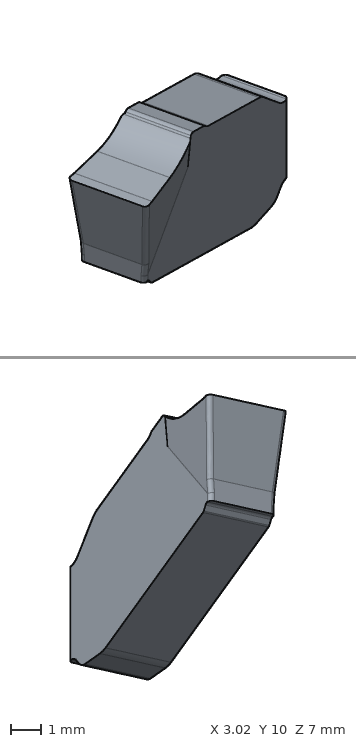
import cadquery as cq
import math


length = 10.0
height = 7.0
shank_width = 2.5
head_blank_width = 4.0
flank_angle = math.radians(20)
bevel_angle = math.radians(45)

edge_z = 6.41
land_length = 0.42
floor_z = 6.38
heel_y = 0.36
heel_top_z = 3.55
heel_bottom_z = 2.75

breaker_start_y = 1.79
breaker_radius = 2.6
breaker_angle = math.radians(37)
crest_radius = 0.2

step_top_y = 4.34
step_fall = 0.16
step_radius = 0.54
shoulder_radius = 0.8

back_bottom_z = 0.51
back_top_z = 3.89
back_bevel_angle = math.radians(44)
back_top_flat = 0.12
back_top_radius = 0.75
back_bottom_flat = 0.19
back_bottom_radius = 0.5

foot_radius = 0.6
belly_radius = 1.1
notch_y = 0.79
notch_z = 2.49
notch_angle = math.radians(55)
notch_inner_radius = 0.15
notch_outer_radius = 0.1

flare_slope = 0.07
flare_apex = (3.24, 5.77)
flare_rear_inner = (3.41, 6.88)
flare_rear_outer = (3.27, 6.79)
flare_reach = 20.0

front_edge_radius = 0.165
back_edge_radius = 0.19


def meet(point_a, slope_a, point_b, slope_b):
    """Return where two sloping lines in the YZ plane cross."""
    y = (point_b[1] - point_a[1] + slope_a * point_a[0] - slope_b * point_b[0]) / (slope_a - slope_b)
    return y, point_a[1] + slope_a * (y - point_a[0])


def profile_corners():
    """Return the side outline as (corner, radius) pairs, starting at the cutting edge."""
    flank = -math.tan(flank_angle)
    bevel = math.tan(bevel_angle)
    rise = math.tan(breaker_angle)

    breaker = (breaker_start_y + breaker_radius * math.tan(breaker_angle / 2), floor_z)
    crest_center_z = height - crest_radius
    crest_rise_z = crest_center_z + crest_radius / math.cos(breaker_angle)
    crest_y = breaker[0] + (crest_rise_z - floor_z) / rise
    crest_flank = (crest_y, crest_center_z + crest_radius / math.cos(flank_angle))
    crest = meet(breaker, rise, crest_flank, flank)

    step_top = (step_top_y, crest_flank[1] + flank * (step_top_y - crest_y))
    step_foot = (step_top_y + step_fall / bevel, step_top[1] - step_fall)

    back_top_setback = back_top_radius * math.tan(back_bevel_angle / 2)
    back_top = (length - back_top_flat - back_top_setback, back_top_z)
    shoulder = meet(step_foot, flank, back_top, -math.tan(back_bevel_angle))
    back_bottom_setback = back_bottom_radius * math.tan(bevel_angle / 2)
    back_bottom = (length - back_bottom_flat - back_bottom_setback, back_bottom_z)
    foot = (back_bottom[0] - back_bottom_z / bevel, 0)

    notch_outer = (notch_y, notch_z)
    belly = meet(notch_outer, flank, foot, 0)
    notch_inner = meet(notch_outer, -math.tan(notch_angle), (heel_y, heel_bottom_z), 0)

    return [
        ((0, edge_z), 0),
        ((heel_y, heel_top_z), 0),
        ((heel_y, heel_bottom_z), 0),
        (notch_inner, notch_inner_radius),
        (notch_outer, notch_outer_radius),
        (belly, belly_radius),
        (foot, foot_radius),
        (back_bottom, back_bottom_radius),
        ((length, back_bottom_z), 0),
        ((length, back_top_z), 0),
        (back_top, back_top_radius),
        (shoulder, shoulder_radius),
        (step_foot, step_radius),
        (step_top, 0),
        (crest, crest_radius),
        (breaker, breaker_radius),
        ((land_length, floor_z), 0),
    ]


def round_points(before, corner, after, radius):
    """Return start, middle and end of the arc that rounds a corner."""
    corner_v = cq.Vector(*corner)
    to_before = (cq.Vector(*before) - corner_v).normalized()
    to_after = (cq.Vector(*after) - corner_v).normalized()
    half_angle = to_before.getAngle(to_after) / 2
    setback = radius / math.tan(half_angle)
    center_distance = radius / math.sin(half_angle)
    inward = (to_before + to_after).normalized()
    points = (
        corner_v + to_before * setback,
        corner_v + inward * (center_distance - radius),
        corner_v + to_after * setback,
    )
    return [(point.x, point.y) for point in points]


def profile_slab(width):
    """Extrude the side outline symmetrically about X = 0."""
    corners = profile_corners()
    outline = cq.Workplane("YZ").moveTo(*corners[0][0])
    for index in range(1, len(corners)):
        corner, radius = corners[index]
        if radius == 0:
            outline = outline.lineTo(*corner)
            continue
        before = corners[index - 1][0]
        after = corners[(index + 1) % len(corners)][0]
        start, middle, end = round_points(before, corner, after, radius)
        outline = outline.lineTo(*start).threePointArc(middle, end)
    return outline.close().extrude(width / 2, both=True)


def flared_side_x(y, z):
    """X of the flared side face at a given Y and Z."""
    return shank_width / 2 + flare_slope * ((z - flare_apex[1]) - (y - flare_apex[0]))


def flare_envelope():
    """Tetrahedron holding the flared region outside the +X side of the shank."""
    side_x = shank_width / 2
    apex = cq.Vector(side_x, *flare_apex)
    outer_y, outer_z = flare_rear_outer
    outer = cq.Vector(flared_side_x(outer_y, outer_z), outer_y, outer_z)
    inner = cq.Vector(side_x, *flare_rear_inner)
    along_side = cq.Vector(0, -math.cos(bevel_angle), -math.sin(bevel_angle))

    directions = [along_side, (inner - apex).normalized(), (outer - apex).normalized()]
    tips = [apex + direction * flare_reach for direction in directions]
    triangles = [
        [apex, tips[0], tips[1]],
        [apex, tips[1], tips[2]],
        [apex, tips[2], tips[0]],
        tips,
    ]
    faces = [cq.Face.makeFromWires(cq.Wire.makePolygon(triangle, close=True)) for triangle in triangles]
    return cq.Workplane(cq.Solid.makeSolid(cq.Shell.makeShell(faces)))


def add_flares(shank):
    """Widen the head on both sides."""
    flare = profile_slab(head_blank_width).intersect(flare_envelope())
    return shank.union(flare).union(flare.mirror("YZ"))


def corner_section(side_x, front_y, z, slope):
    """Horizontal section of the cutter that rounds an upright front edge.

    The side face passes through (side_x, front_y) and narrows by slope per unit of Y.
    """
    margin = 0.3
    start, middle, end = round_points(
        (side_x - slope, front_y + 1),
        (side_x, front_y),
        (side_x - 1, front_y),
        front_edge_radius,
    )
    sketch = cq.Workplane("XY", origin=(0, 0, z)).moveTo(*start).threePointArc(middle, end)
    sketch = sketch.lineTo(end[0], front_y - margin).lineTo(side_x + margin, front_y - margin)
    return sketch.lineTo(side_x + margin, start[1]).close().wires().val()


def front_edge_cutters():
    """Stacked ruled cutters that follow the upright front edge on the +X side."""
    overshoot = 0.1
    side_x = shank_width / 2
    round_end_y = heel_y + front_edge_radius
    flare_end_z = flare_apex[1] + round_end_y - flare_apex[0]
    top_z = edge_z + overshoot
    top_y = heel_y * (edge_z - top_z) / (edge_z - heel_top_z)
    sections = [
        corner_section(flared_side_x(top_y, top_z), top_y, top_z, flare_slope),
        corner_section(flared_side_x(heel_y, heel_top_z), heel_y, heel_top_z, flare_slope),
        corner_section(side_x, heel_y, flare_end_z, 0),
        corner_section(side_x, heel_y, heel_bottom_z - overshoot, 0),
    ]
    return [cq.Solid.makeLoft([upper, lower], True) for upper, lower in zip(sections, sections[1:])]


def round_upright_edges(body):
    """Round the upright side edges of the back face and of the front face."""
    body = body.faces(">Y").edges("|Z").fillet(back_edge_radius)
    for cutter in front_edge_cutters():
        body = body.cut(cq.Workplane(cutter))
        body = body.cut(cq.Workplane(cutter.mirror("YZ")))
    return body


shank = profile_slab(shank_width)
result = round_upright_edges(add_flares(shank))